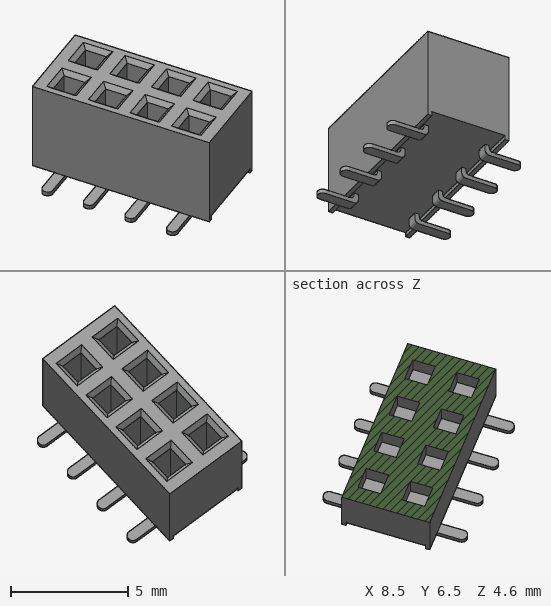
import cadquery as cq

overall_height = 4.6
body_length = 8.5
body_width = 4.0
body_height = 4.3
rail_width = 0.2
rail_height = 0.2

columns = 4
pitch = 2.0

mouth_size = 1.41
socket_size = 1.0
socket_depth = 3.0

lead_span = 6.5
lead_width = 0.5
lead_thickness = 0.2
lead_inset = 0.4
lead_embed = 0.17
bend_radius = 0.2
tip_radius = 0.24

body_bottom = overall_height - body_height
body_underside = body_bottom + rail_height
mouth_depth = (mouth_size - socket_size) / 2
column_positions = [(i - (columns - 1) / 2) * pitch for i in range(columns)]
row_positions = [-pitch / 2, pitch / 2]


def make_block(width, height):
    """Full-length block standing on the bottom level of the housing."""
    return cq.Workplane("XY", origin=(0, 0, body_bottom)).box(
        body_length, width, height, centered=(True, True, False)
    )


def make_housing():
    """Block with a channel underneath that leaves a rail along each long side."""
    channel_width = body_width - 2 * rail_width
    return make_block(body_width, body_height).cut(make_block(channel_width, rail_height))


def make_socket():
    """Square blind hole with a tapered mouth, centred on the Z axis."""
    top_plane = cq.Workplane("XY", origin=(0, 0, overall_height))
    hole = top_plane.rect(socket_size, socket_size).extrude(-socket_depth)
    mouth = (
        top_plane.rect(mouth_size, mouth_size)
        .workplane(offset=-mouth_depth)
        .rect(socket_size, socket_size)
        .loft(ruled=True)
    )
    return hole.union(mouth)


def make_lead():
    """Gull-wing lead reaching out toward +Y, with a bent foot and a rounded tip."""
    outer_face = body_width / 2 - lead_inset
    inner_face = outer_face - lead_thickness
    tip = lead_span / 2
    top = body_underside + lead_embed
    lead = (
        cq.Workplane("YZ")
        .moveTo(inner_face, top)
        .lineTo(inner_face, 0)
        .lineTo(tip, 0)
        .lineTo(tip, lead_thickness)
        .lineTo(outer_face, lead_thickness)
        .lineTo(outer_face, top)
        .close()
        .extrude(lead_width / 2, both=True)
    )
    margin = lead_thickness / 2
    bend_edges = cq.selectors.BoxSelector(
        (-lead_width, inner_face - margin, -margin),
        (lead_width, outer_face + margin, lead_thickness + margin),
    )
    lead = lead.edges("|X").edges(bend_edges).fillet(bend_radius)
    return lead.edges("|Z and >Y").fillet(tip_radius)


result = make_housing()
socket = make_socket()
rear_lead = make_lead()
front_lead = rear_lead.mirror("XZ")

for x in column_positions:
    for y in row_positions:
        result = result.cut(socket.translate((x, y, 0)))
    for lead in (rear_lead, front_lead):
        result = result.union(lead.translate((x, 0, 0)))